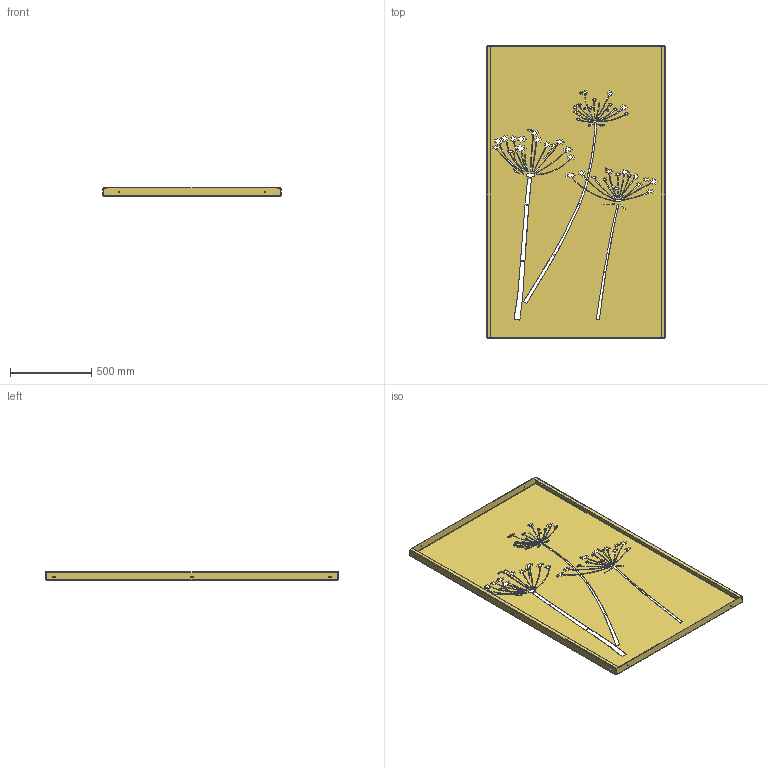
import cadquery as cq
import math

WIDTH = 1100.0
LENGTH = 1800.0
HEIGHT = 50.0
SHEET = 2.0
BEND_RADIUS = 4.0
FLANGE = 25.0
NOTCH_DEPTH = 1.0

HOLE_DIAMETER = 6.0
HOLE_X = 450.0
HOLE_Z = HEIGHT / 2
SLOT_LENGTH = 20.0
SLOT_HEIGHT = 8.0
SLOT_Y = 850.0
SLOT_Z = 20.0

RAY_BASE_WIDTH = 3.0
RAY_TIP_WIDTH = 5.0
PETALS = 7
PETAL_ROOT = 0.6
STEM_JOINT = 6.0
STEM_STEPS = 4
HEIGHT_SEARCH_STEPS = 40

STEMS = [
    {
        "path": [(-364, -786), (-346, -660), (-330, -450), (-308, -150), (-286, 82)],
        "widths": (36, 23),
        "joints": [-424, -78],
    },
    {
        "path": [(-314, -680), (-268, -605), (-143, -400), (-37, -200), (48, 0), (98, 200), (122, 420)],
        "widths": (23, 11),
        "joints": [-388, -76, 22, 72, 340],
    },
    {
        "path": [(134, -786), (176, -500), (211, -300), (259, -76)],
        "widths": (20, 11),
        "joints": [-492, -212],
    },
]

FLOWERS = [
    {
        "hub": (-280, 104, 54, 25),
        "rays": [
            ((-322, 112), (-400, 170), (-488, 262)),
            ((-328, 125), (-418, 198), (-470, 292)),
            ((-336, 140), (-398, 218), (-428, 312)),
            ((-318, 128), (-374, 190), (-412, 240)),
            ((-316, 138), (-352, 210), (-384, 312)),
            ((-376, 202), (-380, 222), (-379, 242)),
            ((-348, 115), (-368, 124), (-384, 143)),
            ((-304, 128), (-326, 190), (-336, 250)),
            ((-296, 126), (-312, 180), (-316, 232)),
            ((-280, 128), (-275, 220), (-264, 348)),
            ((-270, 126), (-259, 200), (-244, 304)),
            ((-260, 124), (-224, 200), (-186, 276)),
            ((-196, 208), (-165, 245), (-142, 276)),
            ((-252, 122), (-180, 208), (-114, 288)),
            ((-244, 116), (-150, 176), (-64, 248)),
            ((-240, 107), (-130, 134), (-36, 200)),
        ],
        "blossoms": [
            (-478, 314, 58, 38), (-494, 274, 40, 26), (-438, 330, 44, 40), (-388, 328, 40, 38),
            (-336, 326, 58, 38), (-340, 270, 66, 42), (-402, 250, 38, 16), (-284, 381, 38, 14),
            (-254, 364, 50, 32), (-236, 322, 46, 38), (-178, 292, 38, 36), (-136, 286, 32, 22),
            (-98, 308, 54, 34), (-50, 262, 54, 32), (-32, 214, 44, 34),
        ],
    },
    {
        "hub": (118, 436, 26, 10),
        "rays": [
            ((100, 431), (60, 434), (24, 443)),
            ((100, 438), (52, 452), (4, 482)),
            ((98, 443), (50, 472), (4, 504)),
            ((102, 446), (60, 483), (22, 524)),
            ((106, 449), (86, 490), (66, 540)),
            ((60, 552), (58, 575), (54, 600)),
            ((114, 450), (113, 500), (109, 560)),
            ((122, 450), (136, 500), (145, 552)),
            ((128, 449), (166, 518), (203, 592)),
            ((133, 447), (168, 487), (200, 530)),
            ((138, 443), (186, 466), (236, 504)),
            ((142, 438), (215, 465), (284, 508)),
            ((142, 433), (220, 443), (300, 474)),
            ((108, 416), (95, 414), (80, 407)),
            ((134, 416), (152, 412), (176, 411)),
        ],
        "blossoms": [
            (30, 610, 24, 20), (57, 612, 32, 26), (210, 606, 34, 34), (113, 568, 32, 20),
            (18, 536, 28, 18), (-6, 521, 24, 24), (-2, 493, 30, 22), (14, 448, 20, 16),
            (91, 518, 16, 24), (52, 512, 14, 14), (212, 538, 20, 20), (243, 510, 22, 18),
            (196, 504, 12, 14), (294, 520, 44, 34), (308, 481, 26, 20), (155, 411, 28, 14),
            (80, 409, 12, 16),
        ],
    },
    {
        "hub": (260, -52, 38, 17),
        "rays": [
            ((236, -56), (110, -14), (-22, 84)),
            ((238, -48), (125, 22), (44, 100)),
            ((240, -42), (165, 22), (114, 82)),
            ((245, -38), (208, 18), (180, 66)),
            ((252, -36), (224, 30), (203, 112)),
            ((259, -36), (258, 40), (258, 100)),
            ((266, -36), (284, 40), (296, 108)),
            ((272, -37), (305, 30), (324, 92)),
            ((277, -39), (316, 24), (358, 82)),
            ((282, -43), (334, -2), (378, 40)),
            ((284, -47), (372, 6), (464, 56)),
            ((285, -52), (370, -30), (444, -6)),
            ((240, -74), (205, -77), (170, -77)),
            ((274, -78), (288, -92), (304, -106)),
        ],
        "blossoms": [
            (-34, 102, 62, 32), (36, 116, 46, 34), (112, 90, 32, 16), (178, 78, 24, 26),
            (204, 127, 54, 28), (185, 142, 12, 14), (257, 108, 30, 20), (302, 122, 58, 32),
            (330, 100, 22, 20), (368, 95, 34, 36), (432, 77, 40, 26), (478, 64, 44, 38),
            (388, 48, 40, 24), (454, 3, 46, 28), (250, 22, 34, 22),
        ],
    },
]


def rounded_box(size_x, size_y, size_z, edges, radius):
    """Box standing on Z = 0 with the chosen edges rounded."""
    box = cq.Workplane("XY").box(size_x, size_y, size_z, centered=(True, True, False))
    return box.edges(edges).fillet(radius)


def long_channel():
    """Floor, long walls and their inward flanges, as one folded section along Y."""
    length = LENGTH - 2 * BEND_RADIUS
    outside = rounded_box(WIDTH, length, HEIGHT, "|Y", BEND_RADIUS)
    inside = rounded_box(WIDTH - 2 * SHEET, length, HEIGHT - 2 * SHEET, "|Y", BEND_RADIUS - SHEET)
    mouth = cq.Workplane("XY").box(WIDTH - 2 * FLANGE, length, HEIGHT, centered=(True, True, False))
    return outside.cut(inside.translate((0, 0, SHEET))).cut(mouth.translate((0, 0, SHEET)))


def end_channel():
    """Floor and the two end walls, notched at their top corners, as one folded section along X."""
    width = WIDTH - 2 * BEND_RADIUS
    outside = rounded_box(width, LENGTH, HEIGHT, "|X and <Z", BEND_RADIUS)
    inside = rounded_box(width, LENGTH - 2 * SHEET, HEIGHT, "|X and <Z", BEND_RADIUS - SHEET)
    notch_x = (WIDTH - FLANGE) / 2
    notches = (
        cq.Workplane("XY", origin=(0, 0, HEIGHT - NOTCH_DEPTH))
        .pushPoints([(-notch_x, 0), (notch_x, 0)])
        .rect(FLANGE, LENGTH)
        .extrude(NOTCH_DEPTH)
    )
    return outside.cut(inside.translate((0, 0, SHEET))).cut(notches)


def end_wall_holes():
    """Round holes through both end walls."""
    return (
        cq.Workplane("XZ", origin=(0, 0, HOLE_Z))
        .pushPoints([(-HOLE_X, 0), (HOLE_X, 0)])
        .circle(HOLE_DIAMETER / 2)
        .extrude(LENGTH, both=True)
    )


def long_wall_slots():
    """Lengthwise slots through both long walls."""
    return (
        cq.Workplane("YZ", origin=(0, 0, SLOT_Z))
        .pushPoints([(-SLOT_Y, 0), (0, 0), (SLOT_Y, 0)])
        .slot2D(SLOT_LENGTH, SLOT_HEIGHT)
        .extrude(WIDTH, both=True)
    )


def flat_face(outline):
    """Flat face inside a closed outline."""
    return cq.Face.makeFromWires(outline.wire().val())


def beside(point, direction, distance):
    """Point at a distance to the left of a direction of travel."""
    length = math.hypot(direction[0], direction[1])
    return (
        point[0] - direction[1] / length * distance,
        point[1] + direction[0] / length * distance,
    )


def ray_opening(base, middle, tip):
    """Slender bowed slit that widens from base to tip."""
    along = (tip[0] - base[0], tip[1] - base[1])
    half_base = RAY_BASE_WIDTH / 2
    half_tip = RAY_TIP_WIDTH / 2
    half_middle = (half_base + half_tip) / 2
    outline = (
        cq.Workplane("XY")
        .moveTo(*beside(base, along, half_base))
        .threePointArc(beside(middle, along, half_middle), beside(tip, along, half_tip))
        .lineTo(*beside(tip, along, -half_tip))
        .threePointArc(beside(middle, along, -half_middle), beside(base, along, -half_base))
    )
    return flat_face(outline.close())


def blossom_opening(x, y, width, height):
    """Star of pointed petals, stretched to a width and height."""
    corners = []
    for step in range(2 * PETALS):
        angle = math.pi * step / PETALS
        reach = PETAL_ROOT if step % 2 else 1.0
        corners.append((x + width / 2 * reach * math.cos(angle), y + height / 2 * reach * math.sin(angle)))
    return flat_face(cq.Workplane("XY").polyline(corners).close())


def hub_opening(x, y, width, height):
    """Oval opening where the rays of a flower head meet."""
    return flat_face(cq.Workplane("XY").center(x, y).ellipse(width / 2, height / 2))


def stem_openings(path, widths, joints):
    """Tapering stem along a smooth centre line, broken by bridges at the joints."""
    line = cq.Edge.makeSpline([cq.Vector(px, py, 0) for px, py in path])
    foot = path[0][1]
    top = path[-1][1]

    def edge_point(height, side):
        low = 0.0
        high = 1.0
        for _ in range(HEIGHT_SEARCH_STEPS):
            share = (low + high) / 2
            if line.positionAt(share).y < height:
                low = share
            else:
                high = share
        spot = line.positionAt(share)
        slope = line.tangentAt(share)
        rise = (height - foot) / (top - foot)
        width = widths[1] + (widths[0] - widths[1]) * (1 - rise) ** 2
        return beside((spot.x, spot.y), (slope.x, slope.y), side * width / 2)

    starts = [foot] + [joint + STEM_JOINT / 2 for joint in joints]
    ends = [joint - STEM_JOINT / 2 for joint in joints] + [top]
    openings = []
    for start, end in zip(starts, ends):
        heights = [start + (end - start) * step / STEM_STEPS for step in range(STEM_STEPS + 1)]
        left = [edge_point(height, 1) for height in heights]
        right = [edge_point(height, -1) for height in reversed(heights)]
        outline = cq.Workplane("XY").moveTo(*left[0]).spline(left[1:], includeCurrent=True)
        outline = outline.lineTo(*right[0]).spline(right[1:], includeCurrent=True)
        openings.append(flat_face(outline.close()))
    return openings


def flower_openings(hub, rays, blossoms):
    """Hub, rays and blossoms of one flower head."""
    openings = [hub_opening(*hub)]
    openings += [ray_opening(*ray) for ray in rays]
    openings += [blossom_opening(*blossom) for blossom in blossoms]
    return openings


def pierced(body, openings):
    """Body with overlapping flat openings merged and cut through the floor."""
    merged = openings[0].fuse(*openings[1:]).clean()
    through = cq.Vector(0, 0, 3 * SHEET)
    below = cq.Location(cq.Vector(0, 0, -SHEET))
    cutters = [cq.Solid.extrudeLinear(face.moved(below), through) for face in merged.Faces()]
    return body.cut(*cutters)


tray = long_channel().union(end_channel())
tray = tray.cut(end_wall_holes()).cut(long_wall_slots()).val()
for stem in STEMS:
    tray = pierced(tray, stem_openings(**stem))
for flower in FLOWERS:
    tray = pierced(tray, flower_openings(**flower))

largest = max(tray.Solids(), key=lambda solid: solid.Volume())
result = cq.Workplane("XY").newObject([largest])